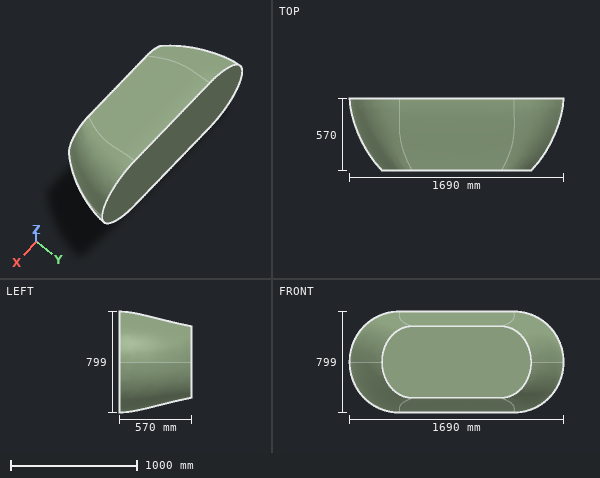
import cadquery as cq

LENGTH = 1690.0
DEPTH = 570.0
RIM_HEIGHT = 799.0
BASE_LENGTH = 1175.0
BASE_HEIGHT = 565.0
RIM_STRAIGHT = 905.0
BASE_STRAIGHT = 703.0

SECTIONS = [
    (BASE_LENGTH, BASE_HEIGHT, BASE_STRAIGHT),
    (1399.0, 625.0, 835.0),
    (1547.0, 696.0, 899.0),
    (1645.0, 764.0, RIM_STRAIGHT),
    (LENGTH, RIM_HEIGHT, RIM_STRAIGHT),
]


def section_wire(y, length, height, straight):
    """Oblong in the XZ plane: two straight runs closed by half-elliptical ends."""
    half_straight = straight / 2
    half_height = height / 2
    end_reach = (length - straight) / 2

    def quarter_end(side, start_angle):
        return cq.Edge.makeEllipse(
            end_reach,
            half_height,
            cq.Vector(side * half_straight, y, 0),
            cq.Vector(0, -1, 0),
            cq.Vector(1, 0, 0),
            angle1=start_angle,
            angle2=start_angle + 90,
            sense=1,
        )

    def straight_run(side):
        start = cq.Vector(side * half_straight, y, side * half_height)
        end = cq.Vector(-side * half_straight, y, side * half_height)
        return cq.Edge.makeLine(start, end)

    edges = [
        quarter_end(1, 270),
        quarter_end(1, 0),
        straight_run(1),
        quarter_end(-1, 90),
        quarter_end(-1, 180),
        straight_run(-1),
    ]
    return cq.Wire.assembleEdges(edges)


section_spacing = DEPTH / (len(SECTIONS) - 1)
wires = [section_wire(i * section_spacing, *sizes) for i, sizes in enumerate(SECTIONS)]

result = cq.Workplane("XY").newObject([cq.Solid.makeLoft(wires)])